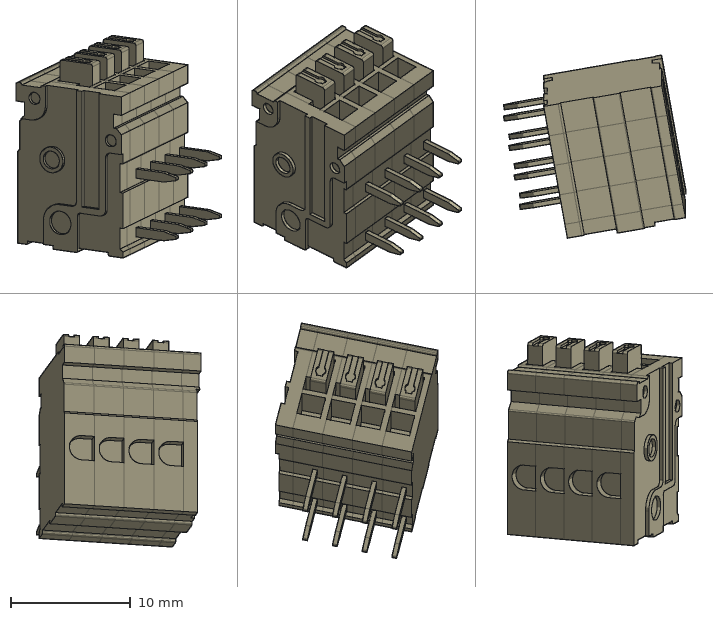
import cadquery as cq

overall_x = 13.5
overall_y = 11.66
overall_z = 15.8
body_x = 10.0
body_z = 14.0
pole_count = 4
end_plate = 1.5
pole_pitch = (overall_y - end_plate) / pole_count
relief = 0.3
margin = 0.79

lip_end = 0.57
groove_end = 2.35
groove_depth = 0.19
lip_round = 0.24
groove_round = 0.17
step_round = 0.2
step_x = 0.19
step_bottom = 7.93
step_top = 10.59
notch_x = 0.8
notch_top = 12.35
latch_x = 9.27
latch_bottom = 11.2
latch_top = 12.4
latch_ramp = 0.47
pin_face_x = body_x - relief
upper_recess_bottom = 5.62
upper_recess_top = 8.1
lower_recess_bottom = 0.52
lower_recess_ramp = 0.22
lower_recess_top = 2.55
first_foot_end = 0.95
middle_foot_start = 3.52
middle_foot_end = 5.83
last_foot_start = 8.56
foot_round = 0.1
last_foot_round = 0.2

corner_pad_x = 2.8
corner_pad_z = 10.9
corner_pad_round = 1.35
rib_left = 5.75
rib_right = 8.48
rib_round = 0.5
rib_foot_left = 2.62
rib_foot_round = 1.5
rib_foot_corner = 0.3
rib_foot_top = 3.93
rib_turn_z = 3.45
shoulder_z = 9.0
slot_left = 6.29
slot_right = 7.87
slot_bottom = 4.0
ring_x = 3.37
ring_z = 7.7
ring_diameter = 2.2
end_face_holes = [
    (ring_x, ring_z, 1.52),
    (4.22, 2.37, 2.0),
    (1.77, 12.81, 1.03),
    (8.99, 10.08, 1.03),
]

pole_middle = pole_pitch / 2
button_left = 3.03
button_right = 6.13
button_width = 1.35
button_round = 0.2
pocket_depth = 3.0
pocket_left = 2.89
pocket_right = 6.16
pocket_width = 1.5
pocket_back = pole_middle + pocket_width / 2
notch_left = 4.96
notch_draft = 0.15
window_left = 6.59
window_right = 8.53
keyhole_width = 0.49
keyhole_diameter = 0.84
keyhole_x = 5.07
keyhole_end = 5.58
keyhole_depth = 0.2
wire_hole_z = 5.0
wire_hole_radius = 1.06
wire_hole_depth = 0.85

pin_levels = (1.52, 6.59)
pin_height = 0.79
pin_thickness = 0.4
pin_taper_x = 12.34
pin_tip_height = 0.25
pin_tip_round = 0.1


def xz_plane(y):
    """Work plane at the given Y whose extrusions run toward +Y (local Y is -Z)."""
    return cq.Workplane(cq.Plane(origin=(0, y, 0), xDir=(1, 0, 0), normal=(0, 1, 0)))


def prism(points, y_start, y_end):
    """Solid with an XZ polygon as section, between two Y positions."""
    flipped = [(x, -z) for x, z in points]
    return xz_plane(y_start).polyline(flipped).close().extrude(y_end - y_start)


def block(x_start, x_end, y_start, y_end, z_start, z_end):
    size = (x_end - x_start, y_end - y_start, z_end - z_start)
    return cq.Workplane("XY").box(*size, centered=False).translate((x_start, y_start, z_start))


def disc(x, z, diameter, y_start, y_end):
    return xz_plane(y_start).center(x, -z).circle(diameter / 2).extrude(y_end - y_start)


def round_edge(solid, x, z, radius):
    """Fillet the edge along Y that passes through the given X and Z."""
    y_middle = solid.val().BoundingBox().center.y
    edge = solid.edges("|Y").edges(cq.selectors.NearestToPointSelector((x, y_middle, z)))
    return edge.fillet(radius)


def housing(y_start, y_end):
    """Slice of the housing with the full outer profile."""
    outline = [
        (0, 0),
        (first_foot_end, 0),
        (first_foot_end, relief),
        (middle_foot_start, relief),
        (middle_foot_start, 0),
        (middle_foot_end, 0),
        (middle_foot_end, relief),
        (last_foot_start, relief),
        (last_foot_start, 0),
        (body_x, 0),
        (body_x, lower_recess_bottom),
        (pin_face_x, lower_recess_bottom + lower_recess_ramp),
        (pin_face_x, lower_recess_top),
        (body_x, lower_recess_top),
        (body_x, upper_recess_bottom),
        (pin_face_x, upper_recess_bottom),
        (pin_face_x, upper_recess_top),
        (body_x, upper_recess_top),
        (body_x, latch_bottom - latch_ramp),
        (body_x - latch_ramp, latch_bottom),
        (latch_x, latch_bottom),
        (latch_x, latch_top),
        (body_x, latch_top),
        (body_x, body_z),
        (groove_end, body_z),
        (groove_end, body_z - groove_depth),
        (lip_end, body_z - groove_depth),
        (lip_end, body_z),
        (0, body_z),
        (0, notch_top),
        (notch_x, notch_top),
        (notch_x, step_top + notch_x - step_x),
        (step_x, step_top),
        (step_x, step_bottom + step_x),
        (0, step_bottom),
    ]
    solid = prism(outline, y_start, y_end)
    solid = round_edge(solid, 0, body_z, lip_round)
    for x in (lip_end, groove_end):
        solid = round_edge(solid, x, body_z, groove_round)
    solid = round_edge(solid, step_x, step_top, step_round)
    solid = round_edge(solid, body_x, upper_recess_top, foot_round)
    for x in (first_foot_end, middle_foot_start, middle_foot_end):
        solid = round_edge(solid, x, 0, foot_round)
    return round_edge(solid, last_foot_start, 0, last_foot_round)


def corner_pad_area():
    """Upper corner of the end face on the wire side."""
    area = block(-margin, corner_pad_x, 0, relief, corner_pad_z, body_z + margin)
    return round_edge(area, corner_pad_x, corner_pad_z, corner_pad_round)


def rib_area():
    """Rib from the top to the underside, with a shoulder to the pin side."""
    area = prism(
        [
            (rib_foot_left, -margin),
            (rib_foot_left, rib_foot_top),
            (rib_left, rib_foot_top),
            (rib_left, body_z + margin),
            (body_x + margin, body_z + margin),
            (body_x + margin, shoulder_z),
            (rib_right, shoulder_z),
            (rib_right, rib_turn_z),
            (middle_foot_end, rib_turn_z),
            (middle_foot_end, -margin),
        ],
        0,
        relief,
    )
    area = round_edge(area, rib_foot_left, rib_foot_top, rib_foot_round)
    area = round_edge(area, rib_left, rib_foot_top, rib_round)
    area = round_edge(area, rib_right, shoulder_z, rib_round)
    area = round_edge(area, rib_right, rib_turn_z, rib_round)
    area = round_edge(area, middle_foot_end, rib_turn_z, rib_foot_corner)
    slot = block(slot_left, slot_right, 0, relief, slot_bottom, body_z + margin)
    return area.cut(slot)


def end_plate_solid():
    """Closing plate with raised pads, ring and blind holes on its -Y face."""
    skin = housing(0, relief)
    plate = housing(relief, end_plate)
    plate = plate.union(skin.intersect(corner_pad_area()))
    plate = plate.union(skin.intersect(rib_area()))
    plate = plate.union(disc(ring_x, ring_z, ring_diameter, 0, relief))
    for x, z, diameter in end_face_holes:
        plate = plate.cut(disc(x, z, diameter, 0, relief))
    return plate


def button(y_start):
    """Push button with a keyhole groove open toward the wire side."""
    middle = y_start + pole_middle
    half_width = button_width / 2
    floor = body_z - pocket_depth
    solid = block(button_left, button_right, middle - half_width, middle + half_width, floor, overall_z)
    for x in (button_left, button_right):
        solid = round_edge(solid, x, overall_z, button_round)
    half_groove = keyhole_width / 2
    groove_floor = overall_z - keyhole_depth
    groove = block(
        button_left, keyhole_end, middle - half_groove, middle + half_groove, groove_floor, overall_z
    )
    eye = cq.Workplane("XY").circle(keyhole_diameter / 2).extrude(keyhole_depth)
    eye = eye.translate((keyhole_x, middle, groove_floor))
    return solid.cut(groove).cut(eye)


def wire_hole(y_start):
    """Round-ended wire entry, open toward the neighbouring -Y face."""
    middle = y_start + wire_hole_radius
    bottom = wire_hole_z - wire_hole_radius
    top = wire_hole_z + wire_hole_radius
    straight = block(0, wire_hole_depth, y_start, middle, bottom, top)
    rounded = cq.Workplane("YZ").center(middle, wire_hole_z).circle(wire_hole_radius)
    return straight.union(rounded.extrude(wire_hole_depth))


def pin(y_start, z):
    """Flat contact pin with a tapered, rounded tip."""
    half = pin_height / 2
    half_tip = pin_tip_height / 2
    outline = [
        (latch_x, z - half),
        (pin_taper_x, z - half),
        (overall_x, z - half_tip),
        (overall_x, z + half_tip),
        (pin_taper_x, z + half),
        (latch_x, z + half),
    ]
    y_end = y_start + pocket_back
    solid = prism(outline, y_end - pin_thickness, y_end)
    for tip_z in (z - half_tip, z + half_tip):
        solid = round_edge(solid, overall_x, tip_z, pin_tip_round)
    return solid


def pole(y_start):
    """One terminal pole: housing slice, pockets, button, wire entry and pins."""
    floor = body_z - pocket_depth
    back = y_start + pocket_back
    solid = housing(y_start, y_start + pole_pitch)
    solid = solid.cut(block(pocket_left, pocket_right, back - pocket_width, back, floor, body_z))
    solid = solid.cut(block(window_left, window_right, y_start, back, floor, body_z))
    side_notch = [
        (notch_left, body_z),
        (notch_left + notch_draft, floor),
        (pocket_right, floor),
        (pocket_right, body_z),
    ]
    solid = solid.cut(prism(side_notch, y_start, y_start + pole_middle))
    solid = solid.cut(wire_hole(y_start))
    solid = solid.union(button(y_start))
    for z in pin_levels:
        solid = solid.union(pin(y_start, z))
    return solid


result = end_plate_solid()
for index in range(pole_count):
    result = result.union(pole(end_plate + index * pole_pitch), clean=False)